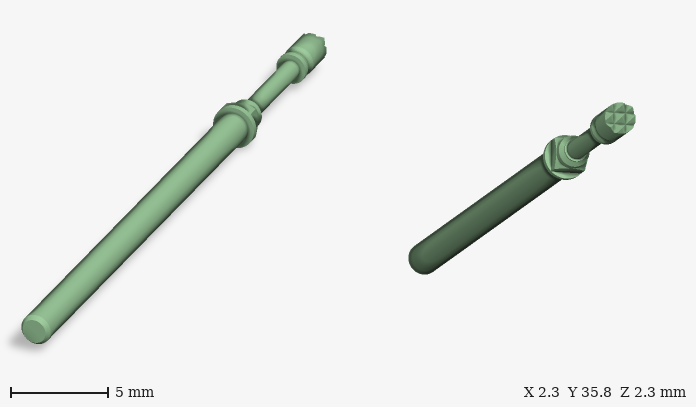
import cadquery as cq

LENGTH = 35.8
TIP_Y = LENGTH / 2
TAIL_Y = -LENGTH / 2

HEAD_RADIUS = 0.82
HEAD_LENGTH = 2.97
GROOVE_CENTRE = 2.33
GROOVE_WIDTH = 0.7
GROOVE_DEPTH = 0.1
SHAFT_RADIUS = 0.5
TOOTH_PITCH = 0.6
TOOTH_DEPTH = 0.4
TEETH_PER_ROW = 3

MOUTH_START = 8.2
MOUTH_LIP = 0.1
MOUTH_BEVEL_LENGTH = 0.25
MOUTH_RADIUS = 0.6
BARREL_RADIUS = 0.82
SQUARE_START = 9.02
SQUARE_SIDE = 2 * BARREL_RADIUS
COLLAR_START = 10.0
COLLAR_THICKNESS = 0.32
COLLAR_RADIUS = 1.15
TAIL_CHAMFER_LENGTH = 0.25
TAIL_CHAMFER_DEPTH = 0.18


def plunger():
    """Head with a shallow V groove, on a thin shaft that enters the barrel."""
    groove_start = TIP_Y - GROOVE_CENTRE + GROOVE_WIDTH / 2
    groove_end = groove_start - GROOVE_WIDTH
    head_end = TIP_Y - HEAD_LENGTH
    shaft_end = TIP_Y - COLLAR_START
    return (
        cq.Workplane("XY")
        .moveTo(0, TIP_Y)
        .lineTo(HEAD_RADIUS, TIP_Y)
        .lineTo(HEAD_RADIUS, groove_start)
        .lineTo(HEAD_RADIUS - GROOVE_DEPTH, TIP_Y - GROOVE_CENTRE)
        .lineTo(HEAD_RADIUS, groove_end)
        .lineTo(HEAD_RADIUS, head_end)
        .lineTo(SHAFT_RADIUS, head_end)
        .lineTo(SHAFT_RADIUS, shaft_end)
        .lineTo(0, shaft_end)
        .close()
        .revolve(360, (0, 0, 0), (0, 1, 0))
    )


def tooth_grooves():
    """Crossing V grooves that leave a square grid of pointed teeth on the head."""
    grooves = cq.Workplane("XY")
    half_width = TOOTH_PITCH / 2
    for number in range(TEETH_PER_ROW + 1):
        centre = (number - TEETH_PER_ROW / 2) * TOOTH_PITCH
        groove = (
            cq.Workplane("XY")
            .moveTo(centre - half_width, TIP_Y)
            .lineTo(centre, TIP_Y - TOOTH_DEPTH)
            .lineTo(centre + half_width, TIP_Y)
            .close()
            .extrude(HEAD_RADIUS, both=True)
        )
        crossing_groove = groove.rotate((0, 0, 0), (0, 1, 0), 90)
        grooves = grooves.add(groove).add(crossing_groove)
    return grooves.combine()


def barrel():
    """Tube with a bevelled mouth and a bevelled tail end."""
    mouth = TIP_Y - MOUTH_START
    bevel_start = mouth - MOUTH_LIP
    return (
        cq.Workplane("XY")
        .moveTo(0, mouth)
        .lineTo(MOUTH_RADIUS, mouth)
        .lineTo(MOUTH_RADIUS, bevel_start)
        .lineTo(BARREL_RADIUS, bevel_start - MOUTH_BEVEL_LENGTH)
        .lineTo(BARREL_RADIUS, TAIL_Y + TAIL_CHAMFER_LENGTH)
        .lineTo(BARREL_RADIUS - TAIL_CHAMFER_DEPTH, TAIL_Y)
        .lineTo(0, TAIL_Y)
        .close()
        .revolve(360, (0, 0, 0), (0, 1, 0))
    )


def square_section():
    """Square length ahead of the collar, its front corners cut by a 45 degree cone."""
    start = TIP_Y - SQUARE_START
    end = TIP_Y - COLLAR_START
    square = cq.Workplane("XZ", origin=(0, start, 0)).rect(SQUARE_SIDE, SQUARE_SIDE).extrude(start - end)
    cone = (
        cq.Workplane("XY")
        .moveTo(0, start)
        .lineTo(BARREL_RADIUS, start)
        .lineTo(COLLAR_RADIUS, start - (COLLAR_RADIUS - BARREL_RADIUS))
        .lineTo(COLLAR_RADIUS, end)
        .lineTo(0, end)
        .close()
        .revolve(360, (0, 0, 0), (0, 1, 0))
    )
    return square.intersect(cone)


def collar():
    return (
        cq.Workplane("XZ", origin=(0, TIP_Y - COLLAR_START, 0))
        .circle(COLLAR_RADIUS)
        .extrude(COLLAR_THICKNESS)
    )


result = plunger().cut(tooth_grooves()).union(barrel()).union(square_section()).union(collar())